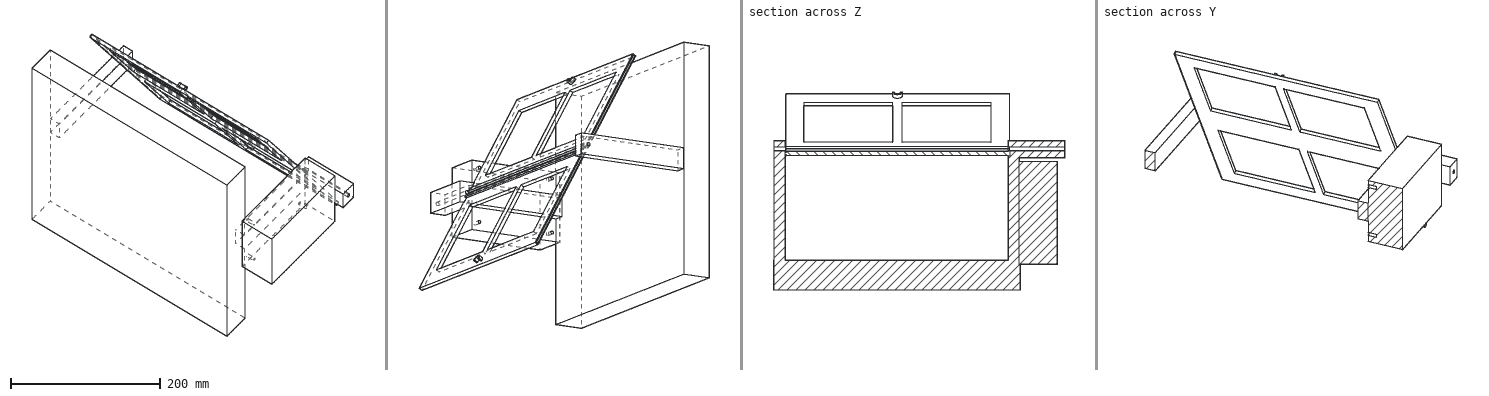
import cadquery as cq
import math

PLATE_LENGTH = 330.0
PLATE_DEPTH = 40.0
PLATE_HEIGHT = 320.0

ARM_WIDTH = 15.2
ARM_HEIGHT = 29.0
ARM_END_Y = 200.0
LEFT_ARM_INSET = 0.5
RIGHT_ARM_INSET = 1.0
LEFT_ARM_X = LEFT_ARM_INSET
RIGHT_ARM_OUTER_X = PLATE_LENGTH - RIGHT_ARM_INSET
RIGHT_ARM_X = RIGHT_ARM_OUTER_X - ARM_WIDTH

FOOT_END_X = 389.8
FOOT_WIDTH = 23.0

HINGE_Y = 189.0
HINGE_Z = 0.0
HINGE_HOLE_DIAMETER = 4.5

PANEL_WIDTH = 300.0
PANEL_LENGTH = 319.2
PANEL_THICKNESS = 5.0
PANEL_TILT = 28.7
PANEL_START_X = LEFT_ARM_X + ARM_WIDTH
HINGE_TO_PANEL_FACE = 3.0
WINDOW_MARGIN = 25.0
CENTRE_BAR = 12.5
HINGE_BAR = 50.0
WINDOW_WIDTH = (PANEL_WIDTH - CENTRE_BAR) / 2 - WINDOW_MARGIN
WINDOW_LENGTH = (PANEL_LENGTH - HINGE_BAR) / 2 - WINDOW_MARGIN
SIDE_STEP = 1.0

CLIP_TIP_ANGLE = 5.0
HINGE_CLIP_INNER_RADIUS = 2.7
HINGE_CLIP_OUTER_RADIUS = 7.5
HINGE_CLIP_AXIS_HEIGHT = 2.0
END_CLIP_INNER_RADIUS = 4.0
END_CLIP_OUTER_RADIUS = 6.5
END_CLIP_HEIGHT = 5.5
END_CLIP_INSET = 6.5

BLOCK_WIDTH = 50.5
BLOCK_LENGTH = 138.0
BLOCK_START_Y = 34.3
BLOCK_TOP_Z = 50.0
BLOCK_BOTTOM_Z = -46.0
SCREW_HOLE_DIAMETER = 4.0
SCREW_HOLE_DEPTH = 11.5
SCREW_INSET_Y = 12.0
SCREW_TOP_Z = 41.0
SCREW_BOTTOM_Z = -34.0


def box_between(low, high):
    """Box with its edges along the axes, given by two opposite corners."""
    size = [end - start for start, end in zip(low, high)]
    return cq.Workplane("XY").box(*size, centered=False).translate(low)


def clip_ring(plane, inner_radius, outer_radius, length):
    """C-shaped ring that opens towards the local +Y of the plane."""
    angle = math.radians(CLIP_TIP_ANGLE)

    def tip(radius, side):
        return (side * radius * math.cos(angle), radius * math.sin(angle))

    return (
        plane.moveTo(*tip(outer_radius, -1))
        .threePointArc((0, -outer_radius), tip(outer_radius, 1))
        .lineTo(*tip(inner_radius, 1))
        .threePointArc((0, -inner_radius), tip(inner_radius, -1))
        .close()
        .extrude(length)
    )


def make_flat_panel():
    """Panel lying flat, centred on the origin, with its clip face on Z = 0."""
    half_width = PANEL_WIDTH / 2
    sheet = box_between(
        (-half_width + SIDE_STEP, -PANEL_LENGTH / 2, -PANEL_THICKNESS),
        (half_width, PANEL_LENGTH / 2, 0),
    )
    raised_side = box_between(
        (-half_width, -PANEL_LENGTH / 2 + SIDE_STEP, -PANEL_THICKNESS + SIDE_STEP),
        (-half_width + SIDE_STEP, PANEL_LENGTH / 2 - SIDE_STEP, -SIDE_STEP),
    )
    windows = (
        cq.Workplane("XY")
        .rarray(WINDOW_WIDTH + CENTRE_BAR, WINDOW_LENGTH + HINGE_BAR, 2, 2)
        .rect(WINDOW_WIDTH, WINDOW_LENGTH)
        .extrude(-PANEL_THICKNESS)
    )
    return sheet.union(raised_side).cut(windows)


def make_hinge_clip():
    """Clip along the middle of the panel, open away from the clip face, cut off at that face."""
    start_x = -PANEL_WIDTH / 2 + SIDE_STEP
    plane = cq.Workplane("YZ", origin=(start_x, 0, HINGE_CLIP_AXIS_HEIGHT))
    ring = clip_ring(
        plane, HINGE_CLIP_INNER_RADIUS, HINGE_CLIP_OUTER_RADIUS, PANEL_WIDTH - SIDE_STEP
    )
    above_face = box_between(
        (start_x, -HINGE_CLIP_OUTER_RADIUS, 0),
        (PANEL_WIDTH / 2, HINGE_CLIP_OUTER_RADIUS, HINGE_CLIP_OUTER_RADIUS),
    )
    return ring.intersect(above_face)


def make_end_clip(turn):
    """Clip standing on the clip face near one end of the panel, open towards that end."""
    ring = clip_ring(
        cq.Workplane("XY"), END_CLIP_INNER_RADIUS, END_CLIP_OUTER_RADIUS, END_CLIP_HEIGHT
    )
    placed = ring.translate((0, PANEL_LENGTH / 2 - END_CLIP_INSET, 0))
    return placed.rotate((0, 0, 0), (0, 0, 1), turn)


def make_panel():
    """Panel with its clips, tilted about the hinge axis so that the clip face looks back and up."""
    flat = make_flat_panel().union(make_hinge_clip())
    for turn in (0, 180):
        flat = flat.union(make_end_clip(turn))
    below_hinge = flat.translate((0, 0, -HINGE_TO_PANEL_FACE))
    tilted = below_hinge.rotate((0, 0, 0), (1, 0, 0), PANEL_TILT - 90)
    return tilted.translate((PANEL_START_X + PANEL_WIDTH / 2, HINGE_Y, HINGE_Z))


def make_block():
    """Block against the outer side of the right arm, with screw holes in the touching side."""
    end_y = BLOCK_START_Y + BLOCK_LENGTH
    block = box_between(
        (RIGHT_ARM_OUTER_X, BLOCK_START_Y, BLOCK_BOTTOM_Z),
        (RIGHT_ARM_OUTER_X + BLOCK_WIDTH, end_y, BLOCK_TOP_Z),
    )
    screw_points = [
        (y, z)
        for y in (BLOCK_START_Y + SCREW_INSET_Y, end_y - SCREW_INSET_Y)
        for z in (SCREW_BOTTOM_Z, SCREW_TOP_Z)
    ]
    holes = (
        cq.Workplane("YZ", origin=(RIGHT_ARM_OUTER_X, 0, 0))
        .pushPoints(screw_points)
        .circle(SCREW_HOLE_DIAMETER / 2)
        .extrude(SCREW_HOLE_DEPTH)
    )
    return block.cut(holes)


def make_frame(panel, block):
    """Plate, arms and foot, with recesses where the panel and the block go in."""
    half_arm = ARM_HEIGHT / 2
    frame = box_between(
        (0, 0, -PLATE_HEIGHT / 2), (PLATE_LENGTH, PLATE_DEPTH, PLATE_HEIGHT / 2)
    )
    for x in (LEFT_ARM_X, RIGHT_ARM_X):
        arm = box_between((x, PLATE_DEPTH, -half_arm), (x + ARM_WIDTH, ARM_END_Y, half_arm))
        frame = frame.union(arm)
    foot = box_between(
        (RIGHT_ARM_X, ARM_END_Y - FOOT_WIDTH, -half_arm), (FOOT_END_X, ARM_END_Y, half_arm)
    )
    hinge_hole = (
        cq.Workplane("YZ", origin=(0, HINGE_Y, HINGE_Z))
        .circle(HINGE_HOLE_DIAMETER / 2)
        .extrude(FOOT_END_X)
    )
    return frame.union(foot).cut(hinge_hole).cut(panel).cut(block)


panel = make_panel()
block = make_block()
frame = make_frame(panel, block)

result = cq.Compound.makeCompound([frame.val(), panel.val(), block.val()])